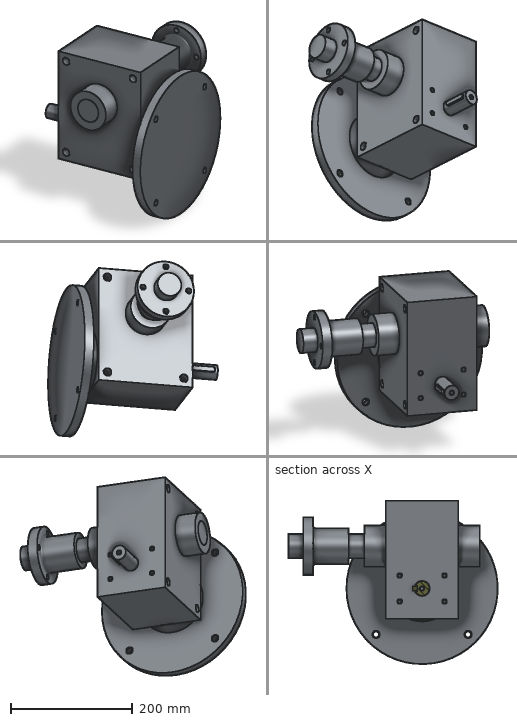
import math

import cadquery as cq


overall_length = 346.0

block_length = 160.0
block_width = 120.0
block_height = 195.0
block_bottom = -50.0
mount_hole_diameter = 13.0
mount_hole_inset = 15.0

boss_diameter = 69.0
boss_length = 35.3

flange_diameter = 250.0
flange_thickness = 15.2
flange_hole_diameter = 10.0
flange_hole_mouth_diameter = 12.0
flange_hole_circle = 215.0
neck_length = 25.0
neck_start_diameter = 99.5
neck_middle_diameter = 103.0
neck_end_diameter = 109.5

cover_hole_diameter = 6.5
cover_hole_mouth_diameter = 8.0
cover_hole_depth = 17.3
cover_hole_spacing_y = 74.0
cover_hole_spacing_z = 43.0
drill_point_angle = 118.0

shaft_diameter = 25.0
shaft_length = 55.0
shaft_hole_diameter = 6.5
shaft_hole_mouth_diameter = 8.0
shaft_hole_depth = 17.3
key_length = 40.0
key_width = 8.0
key_height = 7.0
key_projection = 3.0
key_end_gap = 5.2

screw_diameter = 40.0
screw_height = 70.0
nut_gap = 26.0
nut_body_diameter = 60.0
nut_length = 75.0
nut_flange_diameter = 96.0
nut_flange_thickness = 16.5
nut_fillet = 3.0
nut_hole_diameter = 9.0
nut_hole_circle = 78.0
nut_hole_count = 4

block_left = -block_length / 2
block_right = block_length / 2
block_front = -block_width / 2
block_top = block_bottom + block_height
boss_front = block_front - boss_length
boss_back = -boss_front
flange_face = block_right + neck_length
shaft_end = block_left - shaft_length
screw_back = overall_length - flange_diameter / 2
nut_start = boss_back + nut_gap
key_top = shaft_diameter / 2 + key_projection


def cylinder_along_x(diameter, start, length, y=0, z=0):
    return cq.Workplane("YZ", origin=(start, y, z)).circle(diameter / 2).extrude(length)


def cylinder_along_y(diameter, start, length, x=0, z=screw_height):
    return cq.Workplane("XZ", origin=(x, start, z)).circle(diameter / 2).extrude(-length)


def drilled_hole(diameter, depth, start, y=0, z=0):
    """Blind hole running toward +X, with a conical drill point at its bottom."""
    bore = cylinder_along_x(diameter, start, depth, y, z)
    point_height = diameter / 2 / math.tan(math.radians(drill_point_angle / 2))
    point_base = cq.Vector(start + depth, y, z)
    point = cq.Solid.makeCone(diameter / 2, 0, point_height, point_base, cq.Vector(1, 0, 0))
    return bore.union(cq.Workplane(point))


def countersink(mouth_diameter, hole_diameter, start, y=0, z=0):
    """Countersink with 45 degree sides that narrows toward +X onto a hole."""
    depth = (mouth_diameter - hole_diameter) / 2
    mouth = cq.Vector(start, y, z)
    cone = cq.Solid.makeCone(mouth_diameter / 2, hole_diameter / 2, depth, mouth, cq.Vector(1, 0, 0))
    return cq.Workplane(cone)


def corners(spacing_u, spacing_v):
    """Corner points of a rectangle centred on the origin."""
    return [(u * spacing_u / 2, v * spacing_v / 2) for u in (-1, 1) for v in (-1, 1)]


def make_block():
    """Plain block with four mounting holes running through it along Y."""
    middle_height = (block_bottom + block_top) / 2
    block = cq.Workplane("XY").box(block_length, block_width, block_height)
    block = block.translate((0, 0, middle_height))
    hole_spacing_x = block_length - 2 * mount_hole_inset
    hole_spacing_z = block_height - 2 * mount_hole_inset
    for x, z in corners(hole_spacing_x, hole_spacing_z):
        hole = cylinder_along_y(mount_hole_diameter, block_front, block_width, x, middle_height + z)
        block = block.cut(hole)
    return block


def make_motor_flange():
    """Flared neck and round flange plate, revolved about the input shaft axis."""
    neck = (
        cq.Workplane("XY")
        .moveTo(block_right, 0)
        .lineTo(block_right, neck_start_diameter / 2)
        .threePointArc(
            (block_right + neck_length / 2, neck_middle_diameter / 2),
            (flange_face, neck_end_diameter / 2),
        )
        .lineTo(flange_face, 0)
        .close()
        .revolve(360, (0, 0, 0), (1, 0, 0))
    )
    plate = cylinder_along_x(flange_diameter, flange_face, flange_thickness)
    square_side = flange_hole_circle / math.sqrt(2)
    for y, z in corners(square_side, square_side):
        plate = plate.cut(cylinder_along_x(flange_hole_diameter, flange_face, flange_thickness, y, z))
        plate = plate.cut(countersink(flange_hole_mouth_diameter, flange_hole_diameter, flange_face, y, z))
    return neck.union(plate)


def make_housing():
    """Gearbox block, bosses and motor flange, bored for the lifting screw."""
    housing = make_block()
    housing = housing.union(cylinder_along_y(boss_diameter, boss_front, boss_back - boss_front))
    housing = housing.union(make_motor_flange())
    for y, z in corners(cover_hole_spacing_y, cover_hole_spacing_z):
        housing = housing.cut(drilled_hole(cover_hole_diameter, cover_hole_depth, block_left, y, z))
        housing = housing.cut(countersink(cover_hole_mouth_diameter, cover_hole_diameter, block_left, y, z))
    return housing.cut(make_screw())


def make_screw():
    """Plain lifting screw, flush with the front boss."""
    return cylinder_along_y(screw_diameter, boss_front, screw_back - boss_front)


def make_nut():
    """Flanged nut with a fillet below its flange, bored for the lifting screw."""
    flange_start = nut_start + nut_length - nut_flange_thickness
    body = cylinder_along_y(nut_body_diameter, nut_start, nut_length)
    flange = cylinder_along_y(nut_flange_diameter, flange_start, nut_flange_thickness)
    nut = body.union(flange)
    inner_corner = cq.selectors.BoxSelector(
        (-nut_body_diameter, flange_start - nut_fillet / 2, screw_height - nut_body_diameter),
        (nut_body_diameter, flange_start + nut_fillet / 2, screw_height + nut_body_diameter),
    )
    nut = nut.edges(inner_corner).edges(cq.selectors.RadiusNthSelector(0)).fillet(nut_fillet)
    for index in range(nut_hole_count):
        angle = 2 * math.pi * index / nut_hole_count
        x = nut_hole_circle / 2 * math.cos(angle)
        z = screw_height + nut_hole_circle / 2 * math.sin(angle)
        nut = nut.cut(cylinder_along_y(nut_hole_diameter, flange_start, nut_flange_thickness, x, z))
    return nut.cut(make_screw())


def make_key():
    """Round-ended key standing out of the +Y side of the input shaft."""
    key_middle = shaft_end + key_end_gap + key_length / 2
    return (
        cq.Workplane("XZ", origin=(key_middle, key_top, 0))
        .slot2D(key_length, key_width)
        .extrude(key_height)
    )


def make_input_shaft():
    """Input shaft with a centre hole in its end and a keyway for the key."""
    shaft = cylinder_along_x(shaft_diameter, shaft_end, shaft_length)
    shaft = shaft.cut(drilled_hole(shaft_hole_diameter, shaft_hole_depth, shaft_end))
    shaft = shaft.cut(countersink(shaft_hole_mouth_diameter, shaft_hole_diameter, shaft_end))
    return shaft.cut(make_key())


housing = make_housing()
input_shaft = make_input_shaft()
key = make_key()
screw = make_screw()
nut = make_nut()

result = cq.Compound.makeCompound([
    housing.val(),
    input_shaft.val(),
    key.val(),
    screw.val(),
    nut.val(),
])